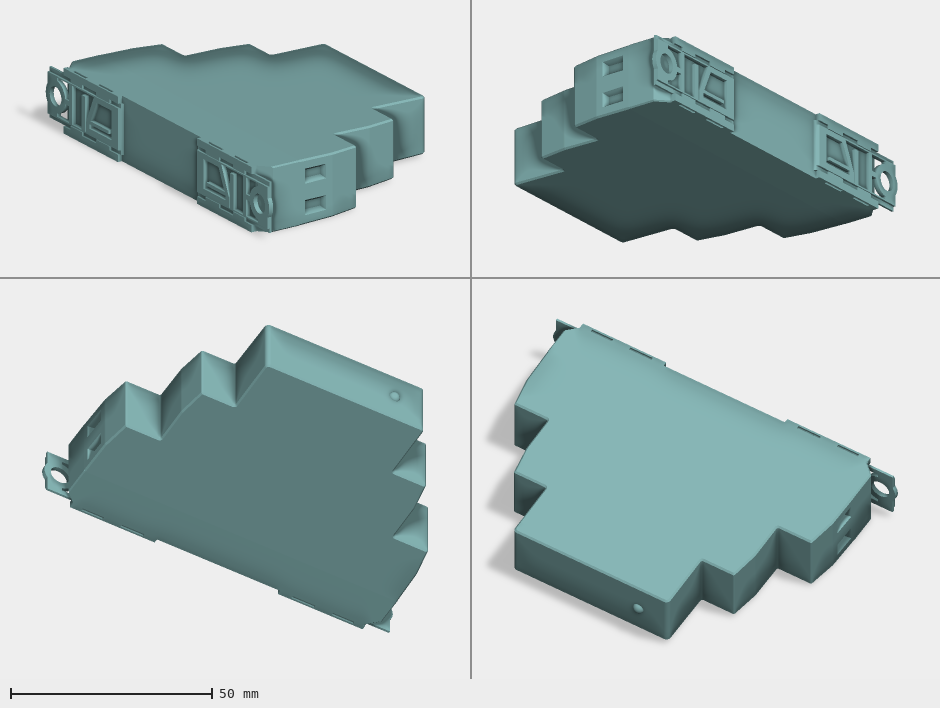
import cadquery as cq
case_half_width = 44.8
case_half_depth = 8.72
case_top = 65.4
case_top_half_depth = 7.7
clip_thickness = 1.2
floor_half_width = 41.9
foot_chamfer_bottom = 1.6
foot_chamfer_top = 4.5
draft_start = 12.4
low_wall_top = 22.5
low_wall_lean = 0.2
low_step_half_width = 43.2
low_step_height = 30.7
mid_wall_half_width = 33.4
mid_wall_top = 41.2
mid_step_half_width = 32.1
mid_step_height = 49.3
tower_half_width = 22.6
tower_corner_radius = 1.2
case_edge_chamfer = 0.45
base_edge_chamfer = 0.35
step_corner_radius = 0.5
wall_bend_radius = 3.0

lamp_x = -14.0
lamp_radius = 1.5
lamp_height = 1.1

window_bottom = 14.1
window_height = 6.6
window_width = 4.1
window_spacing = 8.4
window_depth = 1.5
window_inset = 1.0

pad_inner_x = 17.6
notch_height = 0.5
notch_depth = 0.5
notch_spans = [(21.2, 27.7), (32.8, 38.9)]

clip_half_depth = 6.8
clip_inner_x = 16.6
clip_outer_x = 49.0
plate_half_depth = 5.6
rail_recess = 0.6
rail_spans = [(clip_inner_x, 21.3), (27.4, 33.6), (38.9, clip_outer_x)]
groove_width = 0.2
eye_x = 45.4
eye_outer_radius = 4.4
eye_hole_radius = 2.6
opening_half_depth = 5.2
eye_opening_inner_x = 39.4
eye_web_width = 1.4

latch_outer_x = 38.1
latch_inner_x = 31.8
latch_top_inner_x = 28.4
latch_bend_z = -2.4
latch_bar_span = (32.3, 33.8)
latch_bar_top = 4.1

hatch_inner_x = 20.5
hatch_top_x = 27.2
hatch_slope_x = 29.9
hatch_outer_x = 30.3
hatch_top = 4.1
hatch_bottom = -3.8
tongue_end_x = 21.8
tongue_top = -1.7
tongue_bottom = -2.6


def block(x_span, y_span, z_span):
    """Box given by its limits along each axis."""
    spans = (x_span, y_span, z_span)
    sizes = [high - low for low, high in spans]
    corner = tuple(low for low, high in spans)
    return cq.Workplane("XY").box(*sizes, centered=False).translate(corner)


def plate_prism(points):
    """Polygon in XZ, extruded through the clip thickness along +Y."""
    return cq.Workplane("XZ").polyline(points).close().extrude(-clip_thickness)


def both_sides(half):
    """Add the mirror image on the left side."""
    return half.union(half.mirror("YZ"))


def extruded_outline(points):
    """Closed XY outline, extruded through the case depth."""
    return cq.Workplane("XY").polyline(points).close().extrude(case_half_depth, both=True)


def round_corners(body, height, radius):
    """Round every outline corner that lies at the given height."""
    reach = 2 * case_half_width
    tolerance = 0.01
    corners = cq.selectors.BoxSelector(
        (-reach, height - tolerance, -reach), (reach, height + tolerance, reach)
    )
    return body.edges("|Z").edges(corners).fillet(radius)


def make_base():
    """Lower case; only the left foot slope has broken edges, the right one stays sharp."""
    base = extruded_outline([
        (case_half_width, clip_thickness),
        (case_half_width, draft_start),
        (-case_half_width, draft_start),
        (-case_half_width, foot_chamfer_top),
        (-floor_half_width, foot_chamfer_bottom),
        (-floor_half_width, clip_thickness),
    ])
    base = round_corners(base, foot_chamfer_top, step_corner_radius)
    base = base.faces("<Z or >Z").edges("not(<Y or >Y)").chamfer(base_edge_chamfer)
    right_foot_slope = extruded_outline([
        (case_half_width, clip_thickness),
        (case_half_width, foot_chamfer_top),
        (floor_half_width, foot_chamfer_bottom),
        (floor_half_width, clip_thickness),
    ])
    return base.cut(right_foot_slope)


def make_cover():
    """Stepped upper case with inward-leaning broad faces."""
    right_side = [
        (case_half_width, draft_start),
        (case_half_width - low_wall_lean, low_wall_top),
        (low_step_half_width, low_step_height),
        (mid_wall_half_width, low_step_height),
        (mid_wall_half_width, mid_wall_top),
        (mid_step_half_width, mid_step_height),
        (tower_half_width, mid_step_height),
        (tower_half_width, case_top),
    ]
    left_side = [(-x, y) for x, y in reversed(right_side)]
    cover = extruded_outline(right_side + left_side)
    cover = cover.faces(">Y").edges("|Z").fillet(tower_corner_radius)
    for height in (low_step_height, mid_step_height):
        cover = round_corners(cover, height, step_corner_radius)
    for height in (low_wall_top, mid_wall_top):
        cover = round_corners(cover, height, wall_bend_radius)
    side_profile = [
        (draft_start, -case_half_depth),
        (draft_start, case_half_depth),
        (case_top, case_top_half_depth),
        (case_top, -case_top_half_depth),
    ]
    drafted = cq.Workplane("YZ").polyline(side_profile).close().extrude(case_half_width, both=True)
    cover = cover.intersect(drafted)
    return cover.faces("<Z or >Z").edges("not <Y").chamfer(case_edge_chamfer)


def make_lamp():
    sphere_radius = (lamp_radius**2 + lamp_height**2) / (2 * lamp_height)
    center_y = case_top + lamp_height - sphere_radius
    return cq.Workplane("XY").sphere(sphere_radius).translate((lamp_x, center_y, 0))


def make_windows():
    """Tapered pockets in the right end wall."""
    center_y = window_bottom + window_height / 2
    windows = cq.Workplane("XY")
    for z in (-window_spacing / 2, window_spacing / 2):
        window = (
            cq.Workplane("YZ", origin=(case_half_width, center_y, z))
            .rect(window_height, window_width)
            .workplane(offset=-window_depth)
            .rect(window_height - 2 * window_inset, window_width - 2 * window_inset)
            .loft(ruled=True)
        )
        windows = windows.add(window)
    return windows.combine()


def make_pad():
    pad = block(
        (pad_inner_x, floor_half_width), (0, clip_thickness), (-case_half_depth, case_half_depth)
    )
    for span in notch_spans:
        for z in (case_half_depth, -case_half_depth):
            pad = pad.cut(block(span, (notch_height, clip_thickness), (z - notch_depth, z + notch_depth)))
    return pad


def make_clip_blank():
    """Clip body with a sloped inner end and a rounded mounting eye."""
    profile = [
        (pad_inner_x, 0),
        (clip_outer_x, 0),
        (clip_outer_x, clip_thickness),
        (clip_inner_x, clip_thickness),
    ]
    blank = cq.Workplane("XY").polyline(profile).close().extrude(clip_half_depth, both=True)
    return blank.union(eye_disc(eye_outer_radius))


def eye_disc(radius):
    return cq.Workplane("XZ").center(eye_x, 0).circle(radius).extrude(-clip_thickness)


def make_rail_recesses():
    recesses = cq.Workplane("XY")
    rail_width = clip_half_depth - plate_half_depth
    strips = [(span, rail_width) for span in rail_spans]
    strips.append(((clip_inner_x, clip_outer_x), groove_width))
    for span, width in strips:
        upper = block(span, (0, rail_recess), (plate_half_depth, plate_half_depth + width))
        recesses = recesses.add(upper).add(upper.mirror("XY"))
    return recesses.combine()


def make_eye_openings():
    """Openings around the mounting eye, bridged by a web, plus the screw hole."""
    opening = block(
        (eye_opening_inner_x, case_half_width),
        (0, clip_thickness),
        (-opening_half_depth, opening_half_depth),
    )
    web = block(
        (eye_opening_inner_x, eye_x), (0, clip_thickness), (-eye_web_width / 2, eye_web_width / 2)
    )
    return opening.cut(eye_disc(eye_outer_radius)).cut(web).union(eye_disc(eye_hole_radius))


def make_latch_opening():
    """Opening with one bent side and an upright bar left standing in it."""
    opening = plate_prism([
        (latch_outer_x, opening_half_depth),
        (latch_top_inner_x, opening_half_depth),
        (latch_inner_x, latch_bend_z),
        (latch_inner_x, -opening_half_depth),
        (latch_outer_x, -opening_half_depth),
    ])
    bar = block(latch_bar_span, (0, clip_thickness), (-opening_half_depth, latch_bar_top))
    return opening.cut(bar)


def make_hatch_opening():
    """Sloped window with a tongue left standing near its lower edge."""
    return plate_prism([
        (hatch_top_x, hatch_top),
        (hatch_inner_x, hatch_top),
        (hatch_inner_x, hatch_bottom),
        (hatch_outer_x, hatch_bottom),
        (hatch_outer_x, tongue_bottom),
        (tongue_end_x, tongue_bottom),
        (tongue_end_x, tongue_top),
        (hatch_slope_x, tongue_top),
    ])


def make_foot():
    """Right pad with its clip."""
    foot = make_pad().union(make_clip_blank())
    for opening in (make_rail_recesses(), make_eye_openings(), make_latch_opening(), make_hatch_opening()):
        foot = foot.cut(opening)
    return foot


case = make_base().union(make_cover()).cut(both_sides(make_windows()))
result = case.union(make_lamp()).union(both_sides(make_foot()))